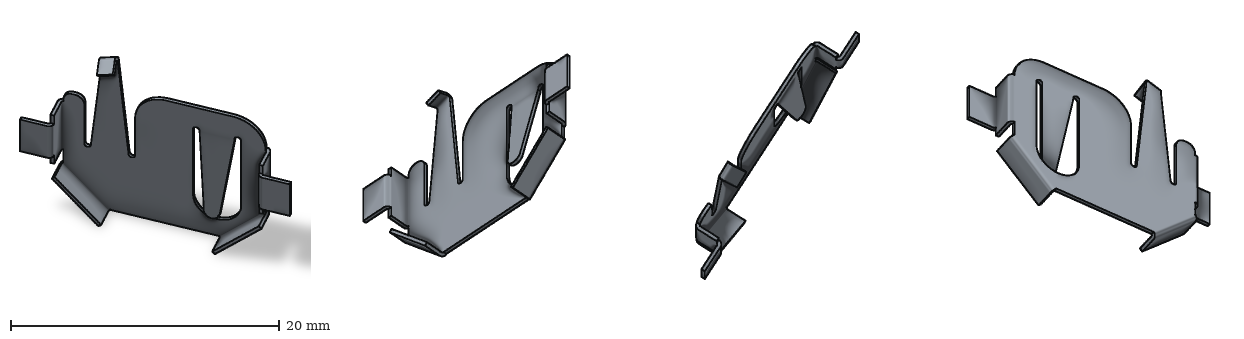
import cadquery as cq
import math


overall_length = 21.35
overall_depth = 2.41
thickness = 0.3
bend_inner_radius = 0.1
bend_outer_radius = bend_inner_radius + thickness

plate_half_width = 8.0
plate_top = 12.4
corner_cut = 3.7
left_corner_radius = 2.5
right_corner_radius = 2.6
post_top = 10.78
post_corner_radius = 0.75

finger_x = -4.33
finger_slot_half_width = 2.0
finger_base_half_width = 1.5
finger_slot_bottom = 5.83
hook_width = 1.35
hook_bend_z = 14.95
hook_tilt = 20.0
hook_drop = 30.0
hook_reach = 1.58

window_x = 4.16
window_half_width = 1.9
window_bottom = 1.66
window_top = 10.41
tongue_root_half_width = 1.39
tongue_root_z = 10.07
tongue_tip_z = 2.67
tongue_tip_radius = 0.65
tongue_angle = 9.8

flange_depth = overall_depth - bend_outer_radius
bracket_mid_z = 7.38
bracket_height = 4.87
foot_height = 3.2


def polar_point(center, radius, degrees):
    angle = math.radians(degrees)
    return (center[0] + radius * math.cos(angle), center[1] + radius * math.sin(angle))


def plate_blank():
    """Flat plate with the post, the finger and the big rounded shoulder."""
    slot_left = finger_x - finger_slot_half_width
    slot_right = finger_x + finger_slot_half_width
    finger_left = finger_x - finger_base_half_width
    finger_right = finger_x + finger_base_half_width
    slot_radius = (finger_slot_half_width - finger_base_half_width) / 2
    slot_arc_z = finger_slot_bottom + slot_radius
    hook_center = (finger_x, hook_bend_z)
    post_shoulder = post_top - post_corner_radius
    return (
        cq.Workplane("XZ")
        .moveTo(-plate_half_width + corner_cut, 0)
        .lineTo(plate_half_width - corner_cut, 0)
        .lineTo(plate_half_width, corner_cut)
        .lineTo(plate_half_width, plate_top - right_corner_radius)
        .radiusArc((plate_half_width - right_corner_radius, plate_top), -right_corner_radius)
        .lineTo(slot_right + left_corner_radius, plate_top)
        .radiusArc((slot_right, plate_top - left_corner_radius), -left_corner_radius)
        .lineTo(slot_right, slot_arc_z)
        .threePointArc((slot_right - slot_radius, finger_slot_bottom), (finger_right, slot_arc_z))
        .lineTo(*polar_point(hook_center, hook_width / 2, hook_tilt))
        .lineTo(*polar_point(hook_center, hook_width / 2, hook_tilt + 180))
        .lineTo(finger_left, slot_arc_z)
        .threePointArc((slot_left + slot_radius, finger_slot_bottom), (slot_left, slot_arc_z))
        .lineTo(slot_left, post_shoulder)
        .radiusArc((slot_left - post_corner_radius, post_top), -post_corner_radius)
        .lineTo(-plate_half_width + post_corner_radius, post_top)
        .radiusArc((-plate_half_width, post_shoulder), -post_corner_radius)
        .lineTo(-plate_half_width, corner_cut)
        .close()
        .extrude(thickness)
    )


def window():
    """Round-bottomed opening whose top runs up in a narrow slot on each side of the tongue root."""
    slot_radius = (window_half_width - tongue_root_half_width) / 2
    slot_arc_z = window_top - slot_radius
    slot_mid = window_half_width - slot_radius
    round_z = window_bottom + window_half_width
    return (
        cq.Workplane("XZ", origin=(window_x, 0, 0))
        .moveTo(-window_half_width, round_z)
        .threePointArc((0, window_bottom), (window_half_width, round_z))
        .lineTo(window_half_width, slot_arc_z)
        .threePointArc((slot_mid, window_top), (tongue_root_half_width, slot_arc_z))
        .lineTo(tongue_root_half_width, tongue_root_z)
        .lineTo(-tongue_root_half_width, tongue_root_z)
        .lineTo(-tongue_root_half_width, slot_arc_z)
        .threePointArc((-slot_mid, window_top), (-window_half_width, slot_arc_z))
        .close()
        .extrude(thickness)
    )


def tongue():
    """Tapered round-tipped tongue hanging from the window top, swung toward -Y about its back root edge."""
    round_z = tongue_tip_z + tongue_tip_radius
    flat = (
        cq.Workplane("XZ", origin=(window_x, 0, 0))
        .moveTo(-tongue_root_half_width, tongue_root_z)
        .lineTo(-tongue_tip_radius, round_z)
        .threePointArc((0, tongue_tip_z), (tongue_tip_radius, round_z))
        .lineTo(tongue_root_half_width, tongue_root_z)
        .close()
        .extrude(thickness)
    )
    root = cq.Vector(window_x, 0, tongue_root_z)
    return flat.rotate(root, root + cq.Vector(0.21, 0, 0), -tongue_angle)


def edge_plane(x, z, outward_degrees):
    """Plane across a plate edge: local x points out of the edge, local y along +Y."""
    angle = math.radians(outward_degrees)
    outward = cq.Vector(math.cos(angle), 0, math.sin(angle))
    return cq.Plane(origin=(x, 0, z), xDir=outward, normal=outward.cross(cq.Vector(0, 1, 0)))


def bent_flange(plane, length):
    """Flange turned 90 degrees toward -Y along a plate edge centred on the plane."""
    inner_face = bend_inner_radius
    outer_face = bend_outer_radius
    return (
        cq.Workplane(plane)
        .radiusArc((outer_face, -bend_outer_radius), bend_outer_radius)
        .lineTo(outer_face, -flange_depth)
        .lineTo(inner_face, -flange_depth)
        .lineTo(inner_face, -bend_outer_radius)
        .radiusArc((0, -thickness), -bend_inner_radius)
        .close()
        .extrude(length / 2, both=True)
    )


def foot(plane):
    """Foot turned outward from the end of a side flange, parallel to the plate."""
    foot_end = overall_length / 2 - plate_half_width
    bend_end = bend_outer_radius + bend_inner_radius
    return (
        cq.Workplane(plane)
        .moveTo(bend_inner_radius, -flange_depth)
        .radiusArc((bend_end, -overall_depth), -bend_outer_radius)
        .lineTo(foot_end, -overall_depth)
        .lineTo(foot_end, thickness - overall_depth)
        .lineTo(bend_end, thickness - overall_depth)
        .radiusArc((bend_outer_radius, -flange_depth), bend_inner_radius)
        .close()
        .extrude(foot_height / 2, both=True)
    )


def hook():
    """Finger tip bent over toward -Y and sloping back down, across a tilted bend line."""
    across = cq.Vector(math.cos(math.radians(hook_tilt)), 0, math.sin(math.radians(hook_tilt)))
    plane = cq.Plane(origin=(finger_x, 0, hook_bend_z), xDir=(0, -1, 0), normal=across * -1)
    center = (bend_outer_radius, 0)
    end_angle = 90 - hook_drop
    mid_angle = (180 + end_angle) / 2
    outer_end = polar_point(center, bend_outer_radius, end_angle)
    inner_end = polar_point(center, bend_inner_radius, end_angle)
    lip_length = (hook_reach - outer_end[0]) / math.cos(math.radians(hook_drop))
    return (
        cq.Workplane(plane)
        .threePointArc(polar_point(center, bend_outer_radius, mid_angle), outer_end)
        .lineTo(*polar_point(outer_end, lip_length, -hook_drop))
        .lineTo(*polar_point(inner_end, lip_length, -hook_drop))
        .lineTo(*inner_end)
        .threePointArc(polar_point(center, bend_inner_radius, mid_angle), (thickness, 0))
        .close()
        .extrude(hook_width / 2, both=True)
    )


side_plane = edge_plane(-plate_half_width, bracket_mid_z, 180)
corner_plane = edge_plane(-plate_half_width + corner_cut / 2, corner_cut / 2, 225)

left_bends = (
    bent_flange(side_plane, bracket_height)
    .union(foot(side_plane))
    .union(bent_flange(corner_plane, corner_cut * math.sqrt(2)))
)

result = (
    plate_blank()
    .cut(window())
    .union(tongue())
    .union(hook())
    .union(left_bends)
    .union(left_bends.mirror("YZ"))
)